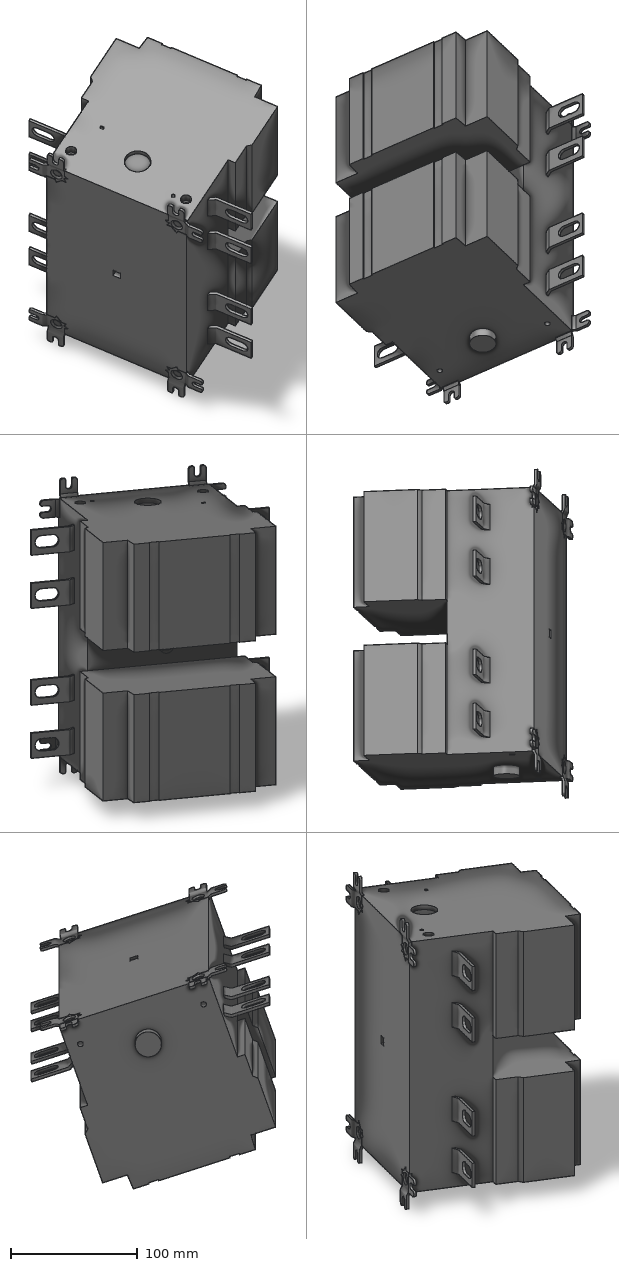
import cadquery as cq
import math


BODY_WIDTH = 125.0
BODY_HEIGHT = 212.2
BODY_FRONT = 2.0
BODY_BACK = 72.2
MODULE_GAP = 34.9
MODULE_HEIGHT = (BODY_HEIGHT - MODULE_GAP) / 2
NECK_HALF_WIDTH = 68.8
NECK_BACK = 91.0
SHOULDER_HALF_WIDTH = 72.2
SHOULDER_FRONT = 94.2
SHOULDER_BACK = 137.3
CREST_BASE_HALF_WIDTH = 51.5
CREST_HALF_WIDTH = 50.9
CREST_BACK = 150.0
GROOVE_CENTER_X = 33.7
GROOVE_WIDTH = 8.0
GROOVE_DEPTH = 1.0

SHAFT_DIAMETER = 12.0
SHAFT_LENGTH = 10.7
SQUARE_HOLE = 6.5

SPIGOT_DIAMETER = 20.8
SPIGOT_Y = 37.3
SPIGOT_LENGTH = 7.0
RECESS_DEPTH = 3.9
BOLT_X = 51.3
BOLT_Y = 22.0
BOLT_DIAMETER = 4.4
BOLT_HEAD_DIAMETER = 8.5
BOLT_HEAD_DEPTH = 7.3
KEY_X = 40.7
KEY_SLOT_Y = 54.0
KEY_SLOT_SIZE = (3.0, 2.0)
KEY_HOLE_Y = 20.3
KEY_HOLE_DIAMETER = 3.0
KEY_DEPTH = 1.0

TAB_REACH = 99.3
TAB_HEIGHT = 20.5
TAB_THICKNESS = 2.5
TAB_BACK = 43.5
TAB_BEND_X = 68.0
TAB_BEND_ANGLE = 33
TAB_BEND_RADIUS = 2.5
TAB_EMBED = 2.5
TAB_SLOT_X = 86.5
TAB_SLOT_LENGTH = 19.9
TAB_SLOT_WIDTH = 10.2
TAB_LEVELS = (39.7, 83.3)

OVERALL_HEIGHT = 242.2
SCREW_X = 53.8
SCREW_Z = 97.4
SCREW_HEAD_DIAMETER = 10.2
SCREW_FLOOR_DIAMETER = 7.0
SCREW_DEPTH = 1.5
FOOT_REACH = OVERALL_HEIGHT / 2 - SCREW_Z
FOOT_WIDTH = 14.5
FOOT_THICKNESS = 2.2
FOOT_OFFSET = 1.7
FOOT_BEND_OUTER = 11.5
FOOT_BEND_INNER = 8.0
FOOT_BEND_RADIUS = 3.1
FOOT_SLOT_WIDTH = 5.3
FOOT_SLOT_DEPTH = 9.0
FINGER_OUTER_RADIUS = 2.5
FINGER_INNER_RADIUS = 1.5
POCKET_CHAMFER = 4.8

TOOTH_REACH = 10.2
TOOTH_ROOT_ABOVE = 1.7
TOOTH_ROOT_BELOW = (6.8, 2.0)
DIAGONAL_TOOTH = (8.7, 5.0)
DIAGONAL_TOOTH_ROOT = 4.8
LOWER_TOOTH_ROOT = 1.2

PICK_MARGIN = 0.2


def module(bottom):
    """One rear module: a symmetric stepped outline raised from the given level."""
    groove_inner = GROOVE_CENTER_X - GROOVE_WIDTH / 2
    groove_outer = GROOVE_CENTER_X + GROOVE_WIDTH / 2
    half = [
        (NECK_HALF_WIDTH, BODY_BACK),
        (NECK_HALF_WIDTH, NECK_BACK),
        (SHOULDER_HALF_WIDTH, SHOULDER_FRONT),
        (SHOULDER_HALF_WIDTH, SHOULDER_BACK),
        (CREST_BASE_HALF_WIDTH, SHOULDER_BACK),
        (CREST_HALF_WIDTH, CREST_BACK),
        (groove_outer, CREST_BACK),
        (groove_outer, CREST_BACK - GROOVE_DEPTH),
        (groove_inner, CREST_BACK - GROOVE_DEPTH),
        (groove_inner, CREST_BACK),
    ]
    mirrored = [(-x, y) for x, y in reversed(half)]
    floor = cq.Workplane("XY", origin=(0, 0, bottom))
    return floor.polyline(half + mirrored).close().extrude(MODULE_HEIGHT)


def housing():
    """Base block with both modules, the shaft and the spigot under the bottom face."""
    depth = BODY_BACK - BODY_FRONT
    block = cq.Workplane("XY").box(BODY_WIDTH, depth, BODY_HEIGHT).translate((0, BODY_FRONT + depth / 2, 0))
    shaft = cq.Workplane("XZ", origin=(0, BODY_BACK, 0)).circle(SHAFT_DIAMETER / 2).extrude(-SHAFT_LENGTH)
    spigot = (
        cq.Workplane("XY", origin=(0, SPIGOT_Y, -BODY_HEIGHT / 2))
        .circle(SPIGOT_DIAMETER / 2)
        .extrude(-SPIGOT_LENGTH)
    )
    body = block.union(module(MODULE_GAP / 2)).union(module(-BODY_HEIGHT / 2))
    return body.union(shaft).union(spigot)


def cut_face_features(body):
    """Square hole through the shaft, then the holes and recesses of the top face."""
    square = cq.Workplane("XZ").rect(SQUARE_HOLE, SQUARE_HOLE).extrude(-CREST_BACK)
    top = cq.Workplane("XY", origin=(0, 0, BODY_HEIGHT / 2))
    recess = top.center(0, SPIGOT_Y).circle(SPIGOT_DIAMETER / 2).extrude(-RECESS_DEPTH)
    bolts = top.pushPoints([(-BOLT_X, BOLT_Y), (BOLT_X, BOLT_Y)])
    bolt_holes = bolts.circle(BOLT_DIAMETER / 2).extrude(-BODY_HEIGHT)
    bolt_heads = bolts.circle(BOLT_HEAD_DIAMETER / 2).extrude(-BOLT_HEAD_DEPTH)
    key_slot = top.center(-KEY_X, KEY_SLOT_Y).rect(*KEY_SLOT_SIZE).extrude(-KEY_DEPTH)
    key_hole = top.center(KEY_X, KEY_HOLE_Y).circle(KEY_HOLE_DIAMETER / 2).extrude(-KEY_DEPTH)
    for tool in (square, recess, bolt_holes, bolt_heads, key_slot, key_hole):
        body = body.cut(tool)
    return body


def terminal_tab():
    """Right-hand tab at mid height: a flat slotted blade with its root bent toward the front."""
    root_x = BODY_WIDTH / 2 - TAB_EMBED
    slope = math.tan(math.radians(TAB_BEND_ANGLE))
    back_bend_x = TAB_BEND_X - TAB_THICKNESS * math.tan(math.radians(TAB_BEND_ANGLE / 2))
    front = TAB_BACK - TAB_THICKNESS
    outline = [
        (TAB_REACH, TAB_BACK),
        (back_bend_x, TAB_BACK),
        (root_x, TAB_BACK - (back_bend_x - root_x) * slope),
        (root_x, front - (TAB_BEND_X - root_x) * slope),
        (TAB_BEND_X, front),
        (TAB_REACH, front),
    ]
    blade = cq.Workplane("XY").polyline(outline).close().extrude(TAB_HEIGHT / 2, both=True)
    front_bend = cq.selectors.NearestToPointSelector((TAB_BEND_X, front, 0))
    blade = blade.edges("|Z").edges(front_bend).fillet(TAB_BEND_RADIUS)
    slot = (
        cq.Workplane("XZ")
        .center(TAB_SLOT_X, 0)
        .slot2D(TAB_SLOT_LENGTH, TAB_SLOT_WIDTH)
        .extrude(-TAB_BACK)
    )
    return blade.cut(slot)


def foot_arm():
    """Arm along +X from a screw at the origin, stepping forward to a forked tip at Y = 0."""
    pad_front = FOOT_OFFSET
    outline = [
        (0, pad_front),
        (FOOT_BEND_INNER, pad_front),
        (FOOT_BEND_OUTER, 0),
        (FOOT_REACH, 0),
        (FOOT_REACH, FOOT_THICKNESS),
        (FOOT_BEND_OUTER, FOOT_THICKNESS),
        (FOOT_BEND_INNER, pad_front + FOOT_THICKNESS),
        (0, pad_front + FOOT_THICKNESS),
    ]
    arm = cq.Workplane("XY").polyline(outline).close().extrude(FOOT_WIDTH / 2, both=True)
    for bend_point in ((FOOT_BEND_OUTER, 0, 0), (FOOT_BEND_INNER, pad_front, 0)):
        bend_edge = cq.selectors.NearestToPointSelector(bend_point)
        arm = arm.edges("|Z").edges(bend_edge).fillet(FOOT_BEND_RADIUS)
    arm = arm.edges("|Y and >X").fillet(FINGER_OUTER_RADIUS)
    slot_radius = FOOT_SLOT_WIDTH / 2
    slot_center = FOOT_REACH - FOOT_SLOT_DEPTH + slot_radius
    fork = (
        cq.Workplane("XZ")
        .center(slot_center + FOOT_REACH / 2, 0)
        .slot2D(FOOT_REACH + FOOT_SLOT_WIDTH, FOOT_SLOT_WIDTH)
        .extrude(-FOOT_THICKNESS)
    )
    arm = arm.cut(fork)
    inner_corners = cq.selectors.BoxSelector(
        (FOOT_REACH - PICK_MARGIN, 0, -slot_radius - PICK_MARGIN),
        (FOOT_REACH + PICK_MARGIN, FOOT_THICKNESS, slot_radius + PICK_MARGIN),
    )
    return arm.edges("|Y").edges(inner_corners).fillet(FINGER_INNER_RADIUS)


def foot():
    """Corner foot for the +X +Z corner: toothed pad, two arms and a countersunk screw seat."""
    half = FOOT_WIDTH / 2
    pad_outline = [
        (half, half),
        (-half, half),
        (-half, TOOTH_ROOT_ABOVE),
        (-TOOTH_REACH, 0),
        (-TOOTH_ROOT_BELOW[0], -TOOTH_ROOT_BELOW[1]),
        (-DIAGONAL_TOOTH[0], -DIAGONAL_TOOTH[1]),
        (-DIAGONAL_TOOTH_ROOT, -DIAGONAL_TOOTH[1]),
        (0, -TOOTH_REACH),
        (LOWER_TOOTH_ROOT, -half),
        (half, -half),
    ]
    pad = (
        cq.Workplane("XZ", origin=(0, FOOT_OFFSET, 0))
        .polyline(pad_outline)
        .close()
        .extrude(-FOOT_THICKNESS)
    )
    arm = foot_arm()
    shape = pad.union(arm).union(arm.rotate((0, 0, 0), (0, 1, 0), -90))
    seat = (
        cq.Workplane("XZ", origin=(0, FOOT_OFFSET, 0))
        .circle(SCREW_HEAD_DIAMETER / 2)
        .workplane(offset=-SCREW_DEPTH)
        .circle(SCREW_FLOOR_DIAMETER / 2)
        .loft()
    )
    return shape.cut(seat)


def foot_pocket():
    """Square notch in the +X +Z corner of the housing that receives a foot pad, chamfered inside."""
    half = FOOT_WIDTH / 2
    width = BODY_WIDTH / 2 - SCREW_X + half
    height = BODY_HEIGHT / 2 - SCREW_Z + half
    depth = FOOT_OFFSET + FOOT_THICKNESS
    return (
        cq.Workplane("XY")
        .box(width, depth, height, centered=False)
        .edges("|Y and <X and <Z")
        .chamfer(POCKET_CHAMFER)
        .translate((SCREW_X - half, 0, SCREW_Z - half))
    )


def four_corners(shape):
    """Copies of a +X +Z corner shape mirrored to all four corners."""
    left = shape.mirror("YZ")
    return [shape, left, shape.mirror("XY"), left.mirror("XY")]


result = cut_face_features(housing())

right_tab = terminal_tab()
for side_tab in (right_tab, right_tab.mirror("YZ")):
    for level in TAB_LEVELS:
        result = result.union(side_tab.translate((0, 0, level)))
        result = result.union(side_tab.translate((0, 0, -level)))

for pocket in four_corners(foot_pocket()):
    result = result.cut(pocket)
for corner_foot in four_corners(foot().translate((SCREW_X, 0, SCREW_Z))):
    result = result.union(corner_foot)